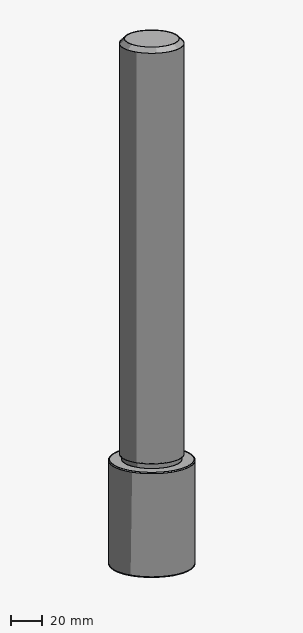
import cadquery as cq

total_length = 350.0
head_diameter = 55.0
head_length = 70.0
head_chamfer = 0.7
shank_diameter = 41.0
shank_chamfer = 3.0
groove_diameter = 38.0
groove_width = 3.5

head_radius = head_diameter / 2
shank_radius = shank_diameter / 2
groove_radius = groove_diameter / 2
groove_top = head_length + groove_width

head = (
    cq.Workplane("XY")
    .circle(head_radius)
    .extrude(head_length)
    .edges()
    .chamfer(head_chamfer)
)

shank = (
    cq.Workplane("XZ")
    .moveTo(0, head_length)
    .lineTo(groove_radius, head_length)
    .lineTo(groove_radius, groove_top)
    .lineTo(shank_radius, groove_top)
    .lineTo(shank_radius, total_length - shank_chamfer)
    .lineTo(shank_radius - shank_chamfer, total_length)
    .lineTo(0, total_length)
    .close()
    .revolve(360, (0, 0, 0), (0, 1, 0))
)

result = head.union(shank)